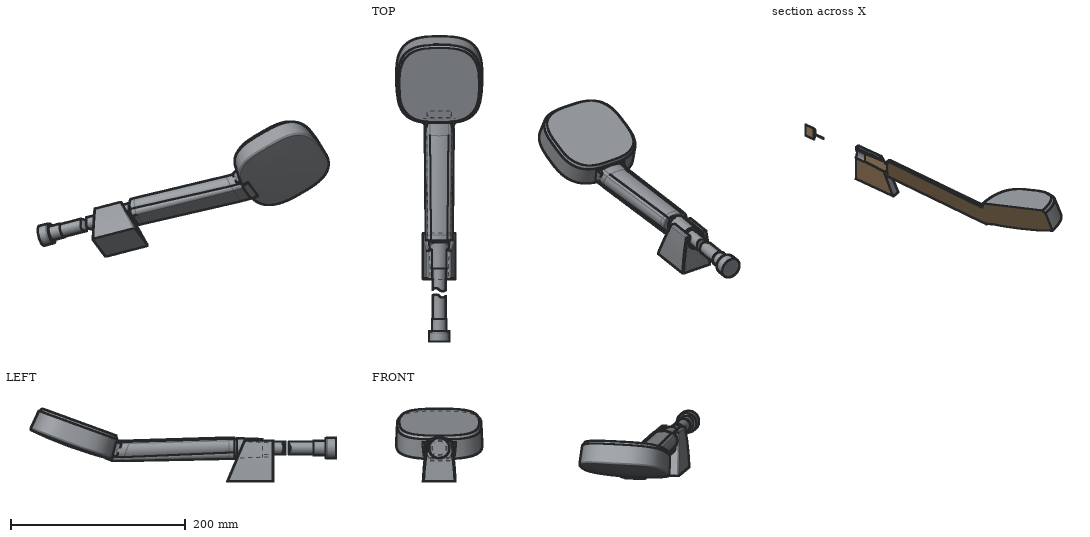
import cadquery as cq
import math


NUT_RADIUS = 12.0
NUT_LENGTH = 12.2
NUT_BEVEL_LENGTH = 2.5
NUT_BEVEL_DEPTH = 0.5
STEM_RADIUS = 8.5
STEM_END_Y = 26.0
HOSE_RADIUS = 7.7
LOWER_BREAK_Y = 52.5
BREAK_GAP = 7.0
WAVE_HEIGHT = 1.7

CONE_START_Y = 84.0
CONE_END_Y = 113.5
CONE_SMALL_RADIUS = 10.5
CONE_LARGE_RADIUS = 11.5
NECK_RADIUS = 10.0

BRACKET_BACK_Y = 71.5
BRACKET_FRONT_BOTTOM_Y = 124.5
BRACKET_FRONT_TOP_Y = 104.5
BRACKET_BOTTOM_Z = -38.0
BRACKET_TOP_Z = 8.7
BRACKET_MIDDLE_Z = -15.7
BRACKET_BOTTOM_HALF_WIDTH = 19.0
BRACKET_MIDDLE_HALF_WIDTH = 17.0
BRACKET_TOP_HALF_WIDTH = 13.5
BRACKET_EDGE_RADIUS = 1.5
CLIP_OPENING = 16.8

HANDLE_END_Y = 116.0
COLLAR_LENGTH = 6.3
COLLAR_HALF_WIDTH = 15.7
COLLAR_TOP_Z = 12.2
COLLAR_BOTTOM_Z = -12.5
COLLAR_EDGE_RADIUS = 1.0
HANDLE_TOP_CROWN = 1.7
HANDLE_TOP_CORNER_HEIGHT = 2.0
COLLAR_BOTTOM_CORNER_HEIGHT = 7.5
BEND_BOTTOM_CORNER_HEIGHT = 5.0
HANDLE_FLAT_INSET = 6.3
HANDLE_SIDE_INSET = 2.5
BEND_TOP_Y = 236.0
BEND_HALF_WIDTH = 16.8
BEND_TOP_Z = 8.7
BEND_BOTTOM_Z = -15.0
HEAD_OVERLAP = 21.0
ROOT_DEPTH = 28.7

HEAD_TILT = 20
FACE_CENTER_Y = 294.0
FACE_CENTER_Z = 29.7
FACE_HALF_WIDTH = 45.5
FACE_HALF_LENGTH = 45.0
RIM_HEIGHT = 4.0
RIM_OVERHANG = 2.27
RIM_LEDGE = 0.7
SHELL_EDGE_RADIUS = 0.7
BACK_HALF_WIDTH = 49.7
BACK_HALF_LENGTH = 50.5
HEAD_THICKNESS = 30.0
BACK_CROWN_RADIUS = 490
BACK_EDGE_RADIUS = 1.7
FLARE_RADIUS = 8.7
FLARE_NECK_HALF_WIDTH = 16.5
FLARE_WALL_DISTANCE = 45.0
FLARE_TOP_DEPTH = 7.0
FLARE_BOTTOM_DEPTH = 22.7
SQUIRCLE_POWER = 3
SQUIRCLE_POINTS = 32

DIAGONAL = math.sqrt(0.5)

TILT = math.radians(HEAD_TILT)
HEAD_PLANE = cq.Plane((0, FACE_CENTER_Y, FACE_CENTER_Z), (1, 0, 0), (0, -math.sin(TILT), math.cos(TILT)))


def revolve_about_hose(profile):
    """Solid of revolution about the hose axis from a profile of (radius, Y) points."""
    points = [(0, profile[0][1])] + profile + [(0, profile[-1][1])]
    return cq.Workplane("XY").polyline(points).close().revolve(360, (0, 0), (0, 1))


def make_lower_nut():
    return revolve_about_hose([
        (NUT_RADIUS, 0),
        (NUT_RADIUS, NUT_LENGTH - NUT_BEVEL_LENGTH),
        (NUT_RADIUS - NUT_BEVEL_DEPTH, NUT_LENGTH),
        (STEM_RADIUS, NUT_LENGTH),
        (STEM_RADIUS, STEM_END_Y),
    ])


def make_cone_nut():
    return revolve_about_hose([
        (CONE_SMALL_RADIUS, CONE_START_Y),
        (CONE_LARGE_RADIUS, CONE_END_Y),
        (NECK_RADIUS, CONE_END_Y),
        (NECK_RADIUS, HANDLE_END_Y),
    ])


def make_hose(square_end_y, break_y):
    """Hose length from a square end to a wavy break; the wave runs through in Z."""
    side = HOSE_RADIUS
    outline = (
        cq.Workplane("XY", origin=(0, 0, -side))
        .moveTo(-side, square_end_y)
        .lineTo(-side, break_y)
        .threePointArc((-side / 2, break_y + WAVE_HEIGHT), (0, break_y))
        .threePointArc((side / 2, break_y - WAVE_HEIGHT), (side, break_y))
        .lineTo(side, square_end_y)
        .close()
        .extrude(2 * side)
    )
    start_y = min(square_end_y, break_y - WAVE_HEIGHT)
    end_y = max(square_end_y, break_y + WAVE_HEIGHT)
    rod = revolve_about_hose([(side, start_y), (side, end_y)])
    return rod.intersect(outline)


def make_bracket():
    right_middle = (BRACKET_MIDDLE_HALF_WIDTH, BRACKET_MIDDLE_Z)
    left_middle = (-BRACKET_MIDDLE_HALF_WIDTH, BRACKET_MIDDLE_Z)
    length = BRACKET_FRONT_BOTTOM_Y - BRACKET_BACK_Y
    block = (
        cq.Workplane("XZ", origin=(0, BRACKET_FRONT_BOTTOM_Y, 0))
        .moveTo(-BRACKET_BOTTOM_HALF_WIDTH, BRACKET_BOTTOM_Z)
        .lineTo(BRACKET_BOTTOM_HALF_WIDTH, BRACKET_BOTTOM_Z)
        .threePointArc(right_middle, (BRACKET_TOP_HALF_WIDTH, BRACKET_TOP_Z))
        .lineTo(-BRACKET_TOP_HALF_WIDTH, BRACKET_TOP_Z)
        .threePointArc(left_middle, (-BRACKET_BOTTOM_HALF_WIDTH, BRACKET_BOTTOM_Z))
        .close()
        .extrude(length)
    )
    side_outline = (
        cq.Workplane("YZ")
        .polyline([
            (BRACKET_BACK_Y, BRACKET_BOTTOM_Z),
            (BRACKET_FRONT_BOTTOM_Y, BRACKET_BOTTOM_Z),
            (BRACKET_FRONT_TOP_Y, BRACKET_TOP_Z),
            (BRACKET_BACK_Y, BRACKET_TOP_Z),
        ])
        .close()
        .extrude(BRACKET_BOTTOM_HALF_WIDTH, both=True)
    )
    block = block.intersect(side_outline)
    block = block.faces("<X or >X").edges("not <Z").fillet(BRACKET_EDGE_RADIUS)

    bore = revolve_about_hose([
        (CONE_SMALL_RADIUS, BRACKET_BACK_Y),
        (CONE_SMALL_RADIUS, CONE_START_Y),
        (CONE_LARGE_RADIUS, CONE_END_Y),
        (CONE_LARGE_RADIUS, BRACKET_FRONT_BOTTOM_Y),
    ])
    opening = cq.Workplane("XY", origin=(0, BRACKET_BACK_Y, 0)).box(
        CLIP_OPENING, length, BRACKET_TOP_Z, centered=(True, False, False)
    )
    return block.cut(bore).cut(opening)


def handle_section(plane, half_width, bottom, top, bottom_corner_height):
    """Wire with crowned top, flat bottom, bowed sides and rounded corners; local Y points up the handle."""
    flat_x = half_width - HANDLE_FLAT_INSET
    side_x = half_width - HANDLE_SIDE_INSET
    crown_edge = top - HANDLE_TOP_CROWN
    side_top = crown_edge - HANDLE_TOP_CORNER_HEIGHT
    side_bottom = bottom + bottom_corner_height
    side_middle = (side_top + side_bottom) / 2
    corner_x = flat_x + DIAGONAL * (side_x - flat_x)
    corner_top = side_top + DIAGONAL * HANDLE_TOP_CORNER_HEIGHT
    corner_bottom = side_bottom - DIAGONAL * bottom_corner_height
    return (
        cq.Workplane(plane)
        .moveTo(-flat_x, crown_edge)
        .threePointArc((0, top), (flat_x, crown_edge))
        .threePointArc((corner_x, corner_top), (side_x, side_top))
        .threePointArc((half_width, side_middle), (side_x, side_bottom))
        .threePointArc((corner_x, corner_bottom), (flat_x, bottom))
        .lineTo(-flat_x, bottom)
        .threePointArc((-corner_x, corner_bottom), (-side_x, side_bottom))
        .threePointArc((-half_width, side_middle), (-side_x, side_top))
        .threePointArc((-corner_x, corner_top), (-flat_x, crown_edge))
        .close()
        .val()
    )


def make_handle():
    collar_plane = cq.Plane((0, HANDLE_END_Y + COLLAR_LENGTH, 0), (1, 0, 0), (0, -1, 0))
    collar_section = handle_section(
        collar_plane, COLLAR_HALF_WIDTH, COLLAR_BOTTOM_Z, COLLAR_TOP_Z, COLLAR_BOTTOM_CORNER_HEIGHT
    )
    collar_path = cq.Vector(0, -COLLAR_LENGTH, 0)
    collar = cq.Workplane(cq.Solid.extrudeLinear(collar_section, [], collar_path))
    collar = collar.faces("<Y").edges().fillet(COLLAR_EDGE_RADIUS)

    bend_plane = cq.Plane((0, BEND_TOP_Y, BEND_TOP_Z), (1, 0, 0), (0, -math.cos(TILT), -math.sin(TILT)))
    bend_height = (BEND_TOP_Z - BEND_BOTTOM_Z) / math.cos(TILT)
    bend_section = handle_section(bend_plane, BEND_HALF_WIDTH, -bend_height, 0, BEND_BOTTOM_CORNER_HEIGHT)
    grip = cq.Workplane(cq.Solid.makeLoft([collar_section, bend_section], True))

    root_path = cq.Vector(0, HEAD_OVERLAP, 0)
    root = cq.Workplane(cq.Solid.extrudeLinear(bend_section, [], root_path))
    below_head = (
        cq.Workplane(HEAD_PLANE)
        .workplane(offset=-ROOT_DEPTH)
        .rect(2 * BACK_HALF_WIDTH, 2 * BACK_HALF_LENGTH)
        .extrude(-HEAD_THICKNESS)
    )
    root = root.cut(below_head)
    return collar.union(grip).union(root)


def squircle(depth, half_width, half_length):
    """Superellipse wire at a depth below the spray face."""
    points = []
    for index in range(SQUIRCLE_POINTS):
        angle = 2 * math.pi * index / SQUIRCLE_POINTS
        cosine = math.cos(angle)
        sine = math.sin(angle)
        x = half_width * math.copysign(abs(cosine) ** (2 / SQUIRCLE_POWER), cosine)
        y = half_length * math.copysign(abs(sine) ** (2 / SQUIRCLE_POWER), sine)
        points.append((x, y))
    return cq.Workplane(HEAD_PLANE).workplane(offset=-depth).spline(points, periodic=True).close().val()


def make_head():
    rim_half_width = FACE_HALF_WIDTH + RIM_OVERHANG
    rim_half_length = FACE_HALF_LENGTH + RIM_OVERHANG
    face_rim = cq.Workplane(cq.Solid.makeLoft([
        squircle(0, FACE_HALF_WIDTH, FACE_HALF_LENGTH),
        squircle(RIM_HEIGHT, rim_half_width, rim_half_length),
    ], True))
    shell = cq.Workplane(cq.Solid.makeLoft([
        squircle(RIM_HEIGHT, rim_half_width + RIM_LEDGE, rim_half_length + RIM_LEDGE),
        squircle(HEAD_THICKNESS, BACK_HALF_WIDTH, BACK_HALF_LENGTH),
    ], True))
    crown_center = BACK_CROWN_RADIUS - HEAD_THICKNESS
    crown = cq.Workplane(HEAD_PLANE).workplane(offset=crown_center).sphere(BACK_CROWN_RADIUS)
    shell = shell.intersect(crown)
    back_face = cq.selectors.DirectionMinMaxSelector(HEAD_PLANE.zDir, False)
    front_face = cq.selectors.DirectionMinMaxSelector(HEAD_PLANE.zDir, True)
    shell = shell.faces(back_face).edges().fillet(BACK_EDGE_RADIUS)
    shell = shell.faces(front_face).edges().fillet(SHELL_EDGE_RADIUS)
    return shell.union(face_rim)


def make_flare():
    """Concave web that widens the sides of the handle where it meets the head wall."""
    wall_x = FLARE_NECK_HALF_WIDTH + FLARE_RADIUS
    wall_y = -FLARE_WALL_DISTANCE
    neck_y = wall_y - FLARE_RADIUS
    arc_x = wall_x - FLARE_RADIUS * DIAGONAL
    arc_y = neck_y + FLARE_RADIUS * DIAGONAL
    return (
        cq.Workplane(HEAD_PLANE)
        .workplane(offset=-FLARE_BOTTOM_DEPTH)
        .moveTo(-wall_x, wall_y)
        .threePointArc((-arc_x, arc_y), (-FLARE_NECK_HALF_WIDTH, neck_y))
        .lineTo(FLARE_NECK_HALF_WIDTH, neck_y)
        .threePointArc((arc_x, arc_y), (wall_x, wall_y))
        .lineTo(wall_x, wall_y + FLARE_RADIUS)
        .lineTo(-wall_x, wall_y + FLARE_RADIUS)
        .close()
        .extrude(FLARE_BOTTOM_DEPTH - FLARE_TOP_DEPTH)
    )


def make_hand_shower():
    return make_handle().union(make_head()).union(make_flare())


lower_nut = make_lower_nut()
lower_hose = make_hose(STEM_END_Y, LOWER_BREAK_Y)
upper_hose = make_hose(CONE_START_Y, LOWER_BREAK_Y + BREAK_GAP)
cone_nut = make_cone_nut()
bracket = make_bracket()
hand_shower = make_hand_shower()

result = cq.Compound.makeCompound([
    *lower_nut.solids().vals(),
    *lower_hose.solids().vals(),
    *upper_hose.solids().vals(),
    *cone_nut.solids().vals(),
    *bracket.solids().vals(),
    *hand_shower.solids().vals(),
])